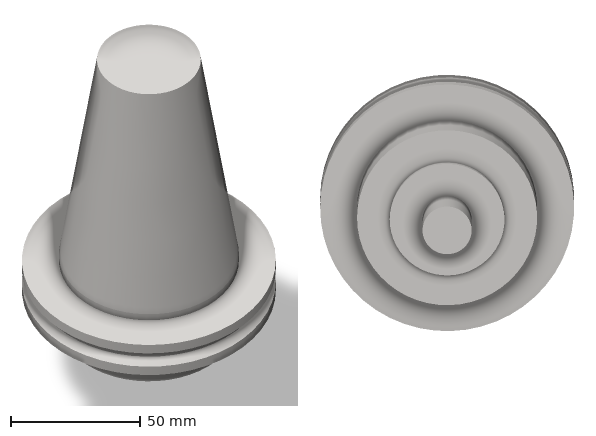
import cadquery as cq

taper_top_diameter = 40.2
body_diameter = 69.8
flange_diameter = 98.4
groove_diameter = 91.3
step_diameter = 44.5
pin_diameter = 19.0

total_height = 157.2
pin_length = 17.5
step_height = 3.1
hub_height = 16.2
flange_height = 15.7
collar_height = 3.1

lower_rim_height = 4.4
upper_rim_height = 4.4
groove_floor_height = 2.8

step_bottom = pin_length
hub_bottom = step_bottom + step_height
flange_bottom = hub_bottom + hub_height
flange_top = flange_bottom + flange_height
collar_top = flange_top + collar_height


def cylinder(diameter, bottom, top):
    """Disc on the Z axis between two heights."""
    return cq.Workplane("XY").workplane(offset=bottom).circle(diameter / 2).extrude(top - bottom)


def cone(bottom_diameter, top_diameter, bottom, top):
    """Truncated cone on the Z axis between two heights."""
    return (
        cq.Workplane("XY")
        .workplane(offset=bottom)
        .circle(bottom_diameter / 2)
        .workplane(offset=top - bottom)
        .circle(top_diameter / 2)
        .loft(ruled=True)
    )


def grooved_flange():
    """Flange disc with the groove revolved out of its rim."""
    rim = flange_diameter / 2
    floor = groove_diameter / 2
    groove_bottom = flange_bottom + lower_rim_height
    groove_top = flange_top - upper_rim_height
    floor_middle = (groove_bottom + groove_top) / 2
    groove = (
        cq.Workplane("XZ")
        .moveTo(rim, groove_bottom)
        .lineTo(floor, floor_middle - groove_floor_height / 2)
        .lineTo(floor, floor_middle + groove_floor_height / 2)
        .lineTo(rim, groove_top)
        .close()
        .revolve(360, (0, 0, 0), (0, 1, 0))
    )
    return cylinder(flange_diameter, flange_bottom, flange_top).cut(groove)


result = (
    cylinder(pin_diameter, 0, step_bottom)
    .union(cylinder(step_diameter, step_bottom, hub_bottom))
    .union(cylinder(body_diameter, hub_bottom, flange_bottom))
    .union(grooved_flange())
    .union(cylinder(body_diameter, flange_top, collar_top))
    .union(cone(body_diameter, taper_top_diameter, collar_top, total_height))
)